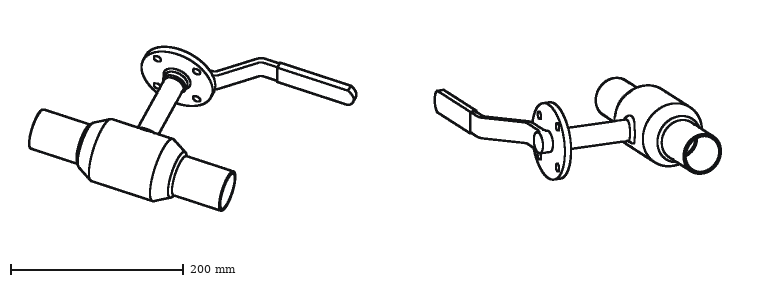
import cadquery as cq
import math


PIPE_LENGTH = 240.0
PIPE_DIAMETER = 48.0
PIPE_BORE = 43.0
PIPE_END_CHAMFER = 0.48
BALL_BORE = 39.0

SHELL_DIAMETER = 76.0
SHELL_STRAIGHT_LENGTH = 77.0
SHELL_END_DIAMETER = 56.0
SHELL_CONE_END = 56.8
PIPE_WELD_END = 60.5

STEM_DIAMETER = 25.0
STEM_WELD = 4.2

FLANGE_DIAMETER = 90.0
FLANGE_THICKNESS = 8.0
FLANGE_TOP = 141.0
FLANGE_HOLE_DIAMETER = 9.0
FLANGE_HOLE_COUNT = 4
FLANGE_HOLE_CIRCLE = 70.0

COLLAR_DIAMETER = 29.0
COLLAR_LENGTH = 10.3
COLLAR_CHAMFER = 2.0
COLLAR_WELD = 2.5

HUB_DIAMETER = STEM_DIAMETER
HUB_HEIGHT = 13.0
HUB_WELD = 2.0

LEVER_WIDTH = HUB_DIAMETER
LEVER_THICKNESS = 6.5
LEVER_LOW_BOTTOM = 143.8
LEVER_HIGH_BOTTOM = 185.0
LEVER_LOW_BEND_X = 40.0
LEVER_BEND_ANGLE = 45.0
LEVER_BEND_RADIUS = 6.5

GRIP_START = 104.5
GRIP_END = 201.0
GRIP_WALL = 1.0
GRIP_WIDTH = 26.3
GRIP_TIP_ROUNDING = 7.0

FLANGE_BOTTOM = FLANGE_TOP - FLANGE_THICKNESS
COLLAR_BOTTOM = FLANGE_BOTTOM - COLLAR_LENGTH
SHELL_RADIUS = SHELL_DIAMETER / 2
COLLAR_RADIUS = COLLAR_DIAMETER / 2
HUB_RADIUS = HUB_DIAMETER / 2
LEVER_LOW_TOP = LEVER_LOW_BOTTOM + LEVER_THICKNESS
LEVER_HIGH_TOP = LEVER_HIGH_BOTTOM + LEVER_THICKNESS


def cylinder_along_x(diameter, length):
    """Cylinder on the pipe axis, centred on the origin."""
    return cq.Workplane("YZ").circle(diameter / 2).extrude(length / 2, both=True)


def cylinder_along_y(diameter, bottom, top):
    """Cylinder on the stem axis between two heights along Y."""
    return cq.Workplane("XZ", origin=(0, bottom, 0)).circle(diameter / 2).extrude(bottom - top)


def make_shell():
    """Barrel with a cone and a sloped pipe weld at each end."""
    half_straight = SHELL_STRAIGHT_LENGTH / 2
    outline = [
        (-PIPE_WELD_END, 0),
        (-PIPE_WELD_END, PIPE_DIAMETER / 2),
        (-SHELL_CONE_END, SHELL_END_DIAMETER / 2),
        (-half_straight, SHELL_RADIUS),
        (half_straight, SHELL_RADIUS),
        (SHELL_CONE_END, SHELL_END_DIAMETER / 2),
        (PIPE_WELD_END, PIPE_DIAMETER / 2),
        (PIPE_WELD_END, 0),
    ]
    return cq.Workplane("XY").polyline(outline).close().revolve(360, (0, 0, 0), (1, 0, 0))


def make_stem():
    """Stem from the barrel to the flange, with a sloped weld where it leaves the barrel."""
    barrel = cylinder_along_x(SHELL_DIAMETER, SHELL_STRAIGHT_LENGTH)
    stem = cylinder_along_y(STEM_DIAMETER, 0, FLANGE_BOTTOM)
    weld_zone = cq.selectors.BoxSelector(
        (-SHELL_RADIUS, SHELL_RADIUS / 2, -SHELL_RADIUS),
        (SHELL_RADIUS, SHELL_RADIUS + STEM_WELD, SHELL_RADIUS),
        boundingbox=True,
    )
    return barrel.union(stem).edges(weld_zone).chamfer(STEM_WELD)


def make_collar():
    """Collar under the flange: chamfered below and flared by a weld above."""
    outline = [
        (0, COLLAR_BOTTOM),
        (COLLAR_RADIUS - COLLAR_CHAMFER, COLLAR_BOTTOM),
        (COLLAR_RADIUS, COLLAR_BOTTOM + COLLAR_CHAMFER),
        (COLLAR_RADIUS, FLANGE_BOTTOM - COLLAR_WELD),
        (COLLAR_RADIUS + COLLAR_WELD, FLANGE_BOTTOM),
        (0, FLANGE_BOTTOM),
    ]
    return cq.Workplane("XY").polyline(outline).close().revolve(360, (0, 0, 0), (0, 1, 0))


def make_flange():
    """Round flange with a ring of through holes, set between the X and Z directions."""
    hole_spacing = 360 / FLANGE_HOLE_COUNT
    flange = cylinder_along_y(FLANGE_DIAMETER, FLANGE_BOTTOM, FLANGE_TOP)
    holes = (
        cq.Workplane("XZ", origin=(0, FLANGE_BOTTOM, 0))
        .polarArray(FLANGE_HOLE_CIRCLE / 2, hole_spacing / 2, 360, FLANGE_HOLE_COUNT)
        .circle(FLANGE_HOLE_DIAMETER / 2)
        .extrude(-FLANGE_THICKNESS)
    )
    return flange.cut(holes)


def make_valve():
    """Shell, pipe ends, stem, collar and flange as one body, bored through along X."""
    pipe = cylinder_along_x(PIPE_DIAMETER, PIPE_LENGTH)
    pipe = pipe.faces("<X or >X").edges().chamfer(PIPE_END_CHAMFER)
    valve = pipe.union(make_shell()).union(make_stem()).union(make_collar()).union(make_flange())
    valve = valve.cut(cylinder_along_x(BALL_BORE, PIPE_LENGTH))
    shell_core = cylinder_along_x(PIPE_BORE, 2 * PIPE_WELD_END)
    pipe_bores = cylinder_along_x(PIPE_BORE, PIPE_LENGTH).cut(shell_core)
    return valve.cut(pipe_bores)


def round_bend(lever, corner, radius):
    """Round the edge of the lever along Z that passes through the corner (x, y)."""
    edge = lever.edges("|Z").edges(cq.selectors.NearestToPointSelector((*corner, 0)))
    return edge.fillet(radius)


def make_lever():
    """Flat bar cranked away from the valve by two equal and opposite bends."""
    slope = math.tan(math.radians(LEVER_BEND_ANGLE))
    bend_shift = LEVER_THICKNESS * math.tan(math.radians(LEVER_BEND_ANGLE / 2))
    crank_run = (LEVER_HIGH_TOP - LEVER_LOW_TOP) / slope
    low_inner = (LEVER_LOW_BEND_X, LEVER_LOW_TOP)
    low_outer = (LEVER_LOW_BEND_X + bend_shift, LEVER_LOW_BOTTOM)
    high_outer = (low_inner[0] + crank_run, LEVER_HIGH_TOP)
    high_inner = (low_outer[0] + crank_run, LEVER_HIGH_BOTTOM)
    outline = [
        (0, LEVER_LOW_BOTTOM),
        low_outer,
        high_inner,
        (GRIP_START, LEVER_HIGH_BOTTOM),
        (GRIP_START, LEVER_HIGH_TOP),
        high_outer,
        low_inner,
        (0, LEVER_LOW_TOP),
    ]
    lever = cq.Workplane("XY").polyline(outline).close().extrude(LEVER_WIDTH / 2, both=True)
    for corner in (low_inner, high_inner):
        lever = round_bend(lever, corner, LEVER_BEND_RADIUS)
    for corner in (low_outer, high_outer):
        lever = round_bend(lever, corner, LEVER_BEND_RADIUS + LEVER_THICKNESS)
    return lever


def make_hub_weld():
    """Sloped weld round the hub, above and below the lever and only as wide as it."""
    weld_radius = HUB_RADIUS + HUB_WELD
    outline = [
        (0, LEVER_LOW_BOTTOM - HUB_WELD),
        (HUB_RADIUS, LEVER_LOW_BOTTOM - HUB_WELD),
        (weld_radius, LEVER_LOW_BOTTOM),
        (weld_radius, LEVER_LOW_TOP),
        (HUB_RADIUS, LEVER_LOW_TOP + HUB_WELD),
        (0, LEVER_LOW_TOP + HUB_WELD),
    ]
    ring = cq.Workplane("XY").polyline(outline).close().revolve(360, (0, 0, 0), (0, 1, 0))
    lever_side = cq.Workplane("XY").box(
        weld_radius, LEVER_HIGH_TOP, LEVER_WIDTH, centered=(False, False, True)
    )
    return ring.intersect(lever_side)


def make_grip():
    """Thicker grip round the end of the lever, with an arched tip."""
    half_width = GRIP_WIDTH / 2
    tip_corner = GRIP_END - GRIP_TIP_ROUNDING
    bottom = LEVER_HIGH_BOTTOM - GRIP_WALL
    thickness = LEVER_THICKNESS + 2 * GRIP_WALL
    return (
        cq.Workplane("XZ", origin=(0, bottom, 0))
        .moveTo(GRIP_START, -half_width)
        .lineTo(tip_corner, -half_width)
        .threePointArc((GRIP_END, 0), (tip_corner, half_width))
        .lineTo(GRIP_START, half_width)
        .close()
        .extrude(-thickness)
    )


def make_handle():
    """Hub, lever and grip as one body, with the hub resting on the flange."""
    hub = cylinder_along_y(HUB_DIAMETER, FLANGE_TOP, FLANGE_TOP + HUB_HEIGHT)
    return hub.union(make_lever()).union(make_hub_weld()).union(make_grip())


valve = make_valve()
handle = make_handle()

result = cq.Compound.makeCompound([valve.solids().val(), handle.solids().val()])